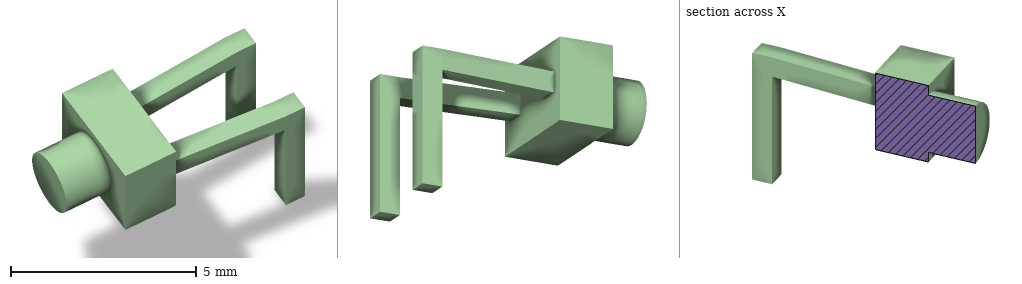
import cadquery as cq

total_length = 7.11
total_height = 4.85
body_width = 3.3
body_depth = 1.6
body_height = 2.395
button_diameter = 1.8
button_length = 1.4
lead_size = 0.6
lead_root_offset = 1.0
lead_tip_offset = 1.27

lead_reach = total_length - body_depth - button_length
bend_start = lead_reach - lead_size
lead_bottom = body_height / 2 - total_height
lead_top = lead_size / 2


def make_body():
    """Rectangular housing with its rear face at Y = 0."""
    return cq.Workplane("XY").box(body_width, body_depth, body_height).translate((0, -body_depth / 2, 0))


def make_button():
    """Round plunger projecting forward from the housing."""
    return (
        cq.Workplane("XZ", origin=(0, -body_depth, 0))
        .circle(button_diameter / 2)
        .extrude(button_length)
    )


def make_lead(side):
    """Square lead that splays outward, then bends down; side is -1 or 1."""
    half = lead_size / 2
    root = side * lead_root_offset
    tip = side * lead_tip_offset
    splayed_arm = (
        cq.Workplane("XY", origin=(0, 0, -half))
        .polyline([
            (root - half, 0),
            (root + half, 0),
            (tip + half, bend_start),
            (tip - half, bend_start),
        ])
        .close()
        .extrude(lead_size)
    )
    vertical_leg = (
        cq.Workplane("XY", origin=(tip, bend_start + half, lead_bottom))
        .rect(lead_size, lead_size)
        .extrude(lead_top - lead_bottom)
    )
    return splayed_arm.union(vertical_leg)


result = make_body().union(make_button())
for side in (-1, 1):
    result = result.union(make_lead(side))